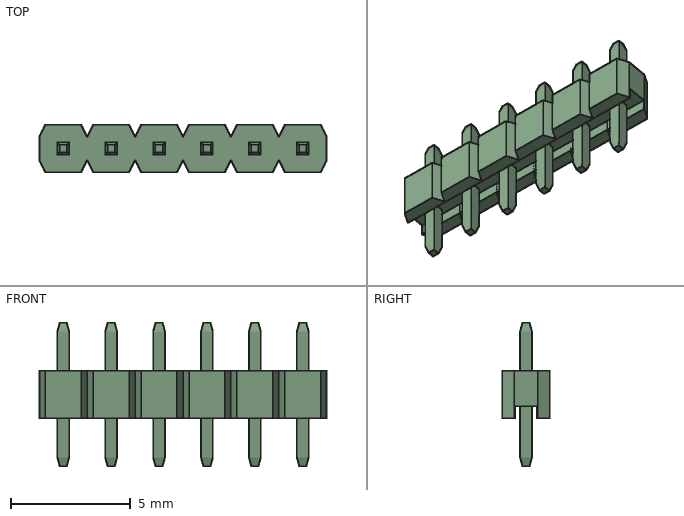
import cadquery as cq

row_length = 12.0
pin_count = 6
pin_length = 6.0
pin_width = 0.5
tip_width = 0.3
tip_length = 0.37
corner_run = 0.25
corner_depth = 0.5
channel_width = 0.9
channel_depth = 0.5

pitch = row_length / pin_count
pin_positions = [(i - (pin_count - 1) / 2) * pitch for i in range(pin_count)]


def housing_cell(x):
    """Eight-sided block around one pin; its cut corners form V notches with its neighbours."""
    half = pitch / 2
    outline = [
        (-half, -half + corner_depth),
        (-half + corner_run, -half),
        (half - corner_run, -half),
        (half, -half + corner_depth),
        (half, half - corner_depth),
        (half - corner_run, half),
        (-half + corner_run, half),
        (-half, half - corner_depth),
    ]
    block = cq.Workplane("XY").polyline(outline).close().extrude(pitch)
    return block.translate((x, 0, -half))


def pin_tip():
    """Square taper narrowing upward to the end of the pin."""
    return (
        cq.Workplane("XY")
        .workplane(offset=pin_length / 2 - tip_length)
        .rect(pin_width, pin_width)
        .workplane(offset=tip_length)
        .rect(tip_width, tip_width)
        .loft(ruled=True)
    )


def pin(x):
    """Square pin, tapered at both ends and centred on the housing height."""
    shaft = cq.Workplane("XY").box(pin_width, pin_width, pin_length - 2 * tip_length)
    upper_tip = pin_tip()
    lower_tip = upper_tip.mirror("XY")
    return shaft.union(upper_tip).union(lower_tip).translate((x, 0, 0))


housing = housing_cell(pin_positions[0])
for x in pin_positions[1:]:
    housing = housing.union(housing_cell(x))

channel = (
    cq.Workplane("XY")
    .box(row_length, channel_width, channel_depth)
    .translate((0, 0, (channel_depth - pitch) / 2))
)
result = housing.cut(channel)

for x in pin_positions:
    result = result.union(pin(x))